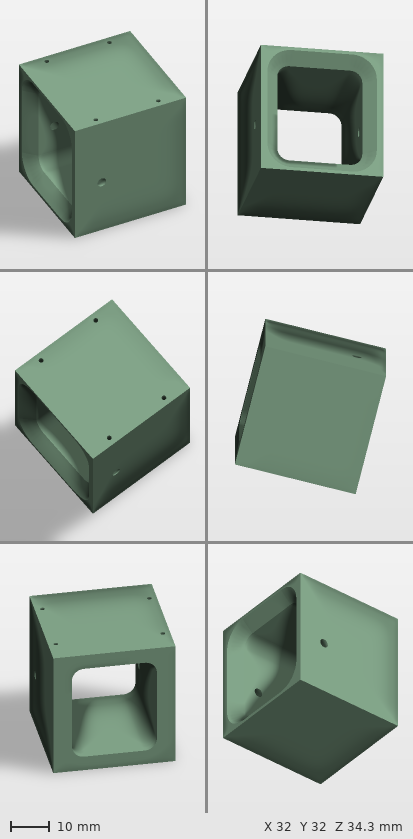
import cadquery as cq
import math

width = 32.0
depth = 32.0
height = 34.3

opening_width = 22.22
opening_height = 26.23
opening_radius = 3.2
flare = 3.2

cross_hole_diameter = 2.47
cross_hole_from_front = 7.75
cross_hole_from_bottom = 15.25

screw_hole_diameter = 1.25
screw_hole_depth = 6.0
screw_hole_spacing_x = 27.98
screw_hole_spacing_y = 18.0
drill_point_angle = 118.0

front_y = -depth / 2
top_z = height / 2


def rounded_opening():
    """Straight opening with rounded corners through the full depth."""
    return (
        cq.Workplane("XY")
        .box(opening_width, depth, opening_height)
        .edges("|Y")
        .fillet(opening_radius)
    )


def drilled_hole(x, y):
    """Blind hole from the top face with a conical drill point."""
    radius = screw_hole_diameter / 2
    point_length = radius / math.tan(math.radians(drill_point_angle / 2))
    profile = (
        cq.Workplane("XZ")
        .lineTo(radius, 0)
        .lineTo(radius, -screw_hole_depth)
        .lineTo(0, -screw_hole_depth - point_length)
        .close()
    )
    return profile.revolve(360, (0, 0, 0), (0, 1, 0)).translate((x, y, top_z))


def flared_mouth():
    """Tapered widening of the opening, largest at the front face."""
    return (
        cq.Workplane("XZ", origin=(0, front_y + flare, 0))
        .placeSketch(
            cq.Sketch().rect(opening_width, opening_height).vertices().fillet(opening_radius),
            cq.Sketch()
            .rect(opening_width + 2 * flare, opening_height + 2 * flare)
            .vertices()
            .fillet(opening_radius + flare)
            .moved(cq.Location(cq.Vector(0, 0, flare))),
        )
        .loft()
    )


def cross_hole():
    """Cylinder along X that pierces both side walls."""
    center_y = front_y + cross_hole_from_front
    center_z = cross_hole_from_bottom - height / 2
    return (
        cq.Workplane("YZ")
        .center(center_y, center_z)
        .circle(cross_hole_diameter / 2)
        .extrude(width / 2, both=True)
    )


result = cq.Workplane("XY").box(width, depth, height)
result = result.cut(rounded_opening()).cut(flared_mouth()).cut(cross_hole())
for side_x in (-1, 1):
    for side_y in (-1, 1):
        hole_x = side_x * screw_hole_spacing_x / 2
        hole_y = side_y * screw_hole_spacing_y / 2
        result = result.cut(drilled_hole(hole_x, hole_y))